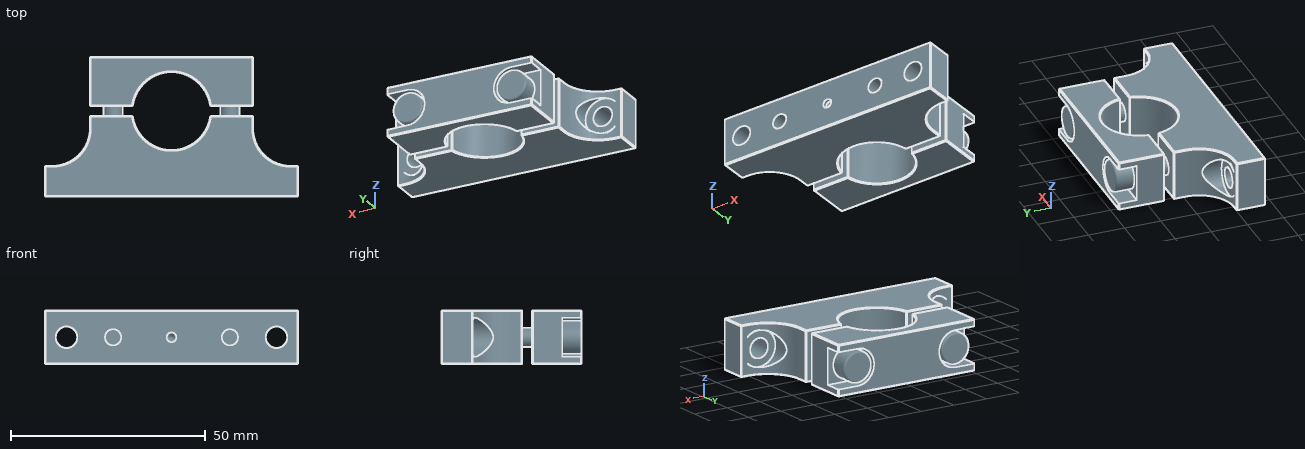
import cadquery as cq
import math

base_length = 65.0
clamp_length = 42.0
total_depth = 36.0
thickness = 14.0
edge_chamfer = 0.25
smooth_angle_limit = 5.0

bore_diameter = 20.0
bore_y = 22.05
clamp_gap = 2.5
base_top_y = bore_y - clamp_gap / 2
cap_bottom_y = bore_y + clamp_gap / 2

flange_depth = 8.0
flange_arc_radius = 9.5
mount_hole_spacing = 53.95
mount_hole_diameter = 5.45
mount_spotface_diameter = 10.0

centre_hole_diameter = 2.5
centre_hole_depth = 1.25
drill_point_angle = 90.0

screw_spacing = 30.0
screw_diameter = 5.0
screw_tip_y = 6.0
screw_head_diameter = 8.5
screw_head_height = 5.0
screw_head_fillet = 0.5
tap_hole_diameter = 4.15
head_pocket_width = 10.0
head_seat_y = total_depth - screw_head_height

screw_positions = [-screw_spacing / 2, screw_spacing / 2]
mount_positions = [-mount_hole_spacing / 2, mount_hole_spacing / 2]


def rod(x, y_start, y_end, diameter):
    """Cylinder along +Y at height z = 0."""
    start = cq.Vector(x, y_start, 0)
    solid = cq.Solid.makeCylinder(diameter / 2, y_end - y_start, start, cq.Vector(0, 1, 0))
    return cq.Workplane(obj=solid)


def bore():
    """Cylinder that cuts the clamped bore through base and cap."""
    return cq.Workplane().center(0, bore_y).circle(bore_diameter / 2).extrude(thickness, both=True)


def chamfer_outer_edges(body):
    """Chamfer both flat faces all round, and the sharp corners between them."""
    chamfered = body.faces("|Z").edges()
    corners = body.edges("|Z").filter(lambda edge: is_sharp(body, edge))
    return chamfered.add(corners).chamfer(edge_chamfer)


def is_sharp(body, edge):
    """True where the two faces beside an edge meet at an angle, False where they run on smoothly."""
    middle = edge.Center()
    sides = [face for face in body.faces().vals() if any(edge.isSame(other) for other in face.Edges())]
    first, second = [face.normalAt(middle) for face in sides]
    return first.dot(second) < math.cos(math.radians(smooth_angle_limit))


def drilled_hole():
    """Blind hole with a conical drill point, entering the front face."""
    radius = centre_hole_diameter / 2
    point_length = radius / math.tan(math.radians(drill_point_angle / 2))
    profile = (
        cq.Workplane()
        .lineTo(radius, 0)
        .lineTo(radius, centre_hole_depth)
        .lineTo(0, centre_hole_depth + point_length)
        .close()
    )
    return profile.revolve(360, (0, 0), (0, 1))


def make_base():
    half_base = base_length / 2
    half_clamp = clamp_length / 2
    arc_top_y = flange_depth + flange_arc_radius
    arc_offset = flange_arc_radius * math.sqrt(0.5)
    arc_centre_x = half_clamp + flange_arc_radius
    arc_middle = (arc_centre_x - arc_offset, arc_top_y - arc_offset)

    half_outline = (
        cq.Workplane(origin=(0, 0, -thickness / 2))
        .lineTo(half_base, 0)
        .lineTo(half_base, flange_depth)
        .lineTo(arc_centre_x, flange_depth)
        .threePointArc(arc_middle, (half_clamp, arc_top_y))
        .lineTo(half_clamp, base_top_y)
        .lineTo(0, base_top_y)
    )
    block = half_outline.mirrorY().extrude(thickness)
    body = chamfer_outer_edges(block.cut(bore()))

    for x in mount_positions:
        body = body.cut(rod(x, 0, flange_depth, mount_hole_diameter))
        body = body.cut(rod(x, flange_depth, base_top_y, mount_spotface_diameter))
    for x in screw_positions:
        body = body.cut(rod(x, 0, screw_tip_y, tap_hole_diameter))
        body = body.cut(rod(x, screw_tip_y, base_top_y, screw_diameter))
    return body.cut(drilled_hole())


def head_pocket(side):
    """Round-ended pocket for a screw head, open at the end of the cap (side = -1 or 1)."""
    screw_x = side * screw_spacing / 2
    end_x = side * clamp_length / 2
    slot = cq.Workplane().box(abs(end_x - screw_x), screw_head_height, head_pocket_width)
    slot = slot.translate(((screw_x + end_x) / 2, head_seat_y + screw_head_height / 2, 0))
    return slot.union(rod(screw_x, head_seat_y, total_depth, head_pocket_width))


def make_cap():
    cap_depth = total_depth - cap_bottom_y
    block = cq.Workplane().box(clamp_length, cap_depth, thickness)
    block = block.translate((0, cap_bottom_y + cap_depth / 2, 0))
    body = chamfer_outer_edges(block.cut(bore()))

    for x in screw_positions:
        body = body.cut(rod(x, cap_bottom_y, head_seat_y, screw_diameter))
    for side in (-1, 1):
        body = body.cut(head_pocket(side))
    return body


def make_screw(x):
    head = rod(x, head_seat_y, total_depth, screw_head_diameter)
    head = head.faces(">Y").edges().fillet(screw_head_fillet)
    return head.union(rod(x, screw_tip_y, head_seat_y, screw_diameter))


base = make_base()
cap = make_cap()
screws = [make_screw(x).val() for x in screw_positions]

result = cq.Compound.makeCompound([base.val(), cap.val(), *screws])